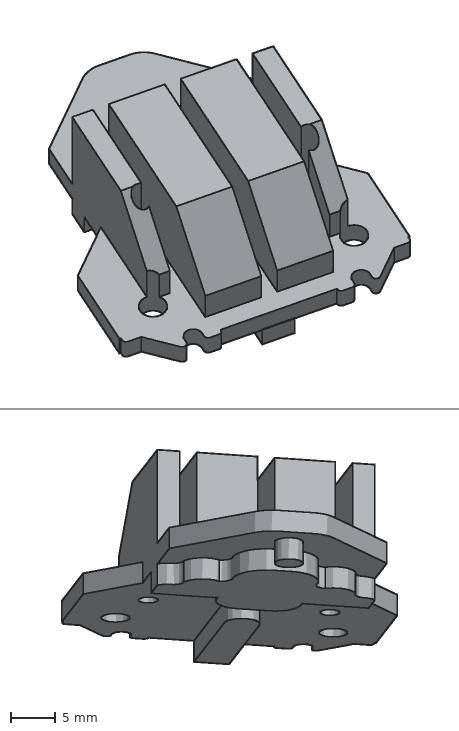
import cadquery as cq
import math

plate_height = 2.45
relief_depth = 2.5
block_height = 11.05
plate_top = plate_height
block_top = plate_top + block_height

length = 43.3
body_half_width = 12.6
nose_chamfer = 9.15
nose_radius = 3.7
wing_half_width = 18.18
wing_start = 22.6
wing_slope = wing_half_width - body_half_width
wing_end = 39.8
wing_corner_radius = 0.48
wing_step_x = 39.0
wing_step_depth = 0.17
wing_side_end = 15.85
tail_end = 42.7

hole_diameter = 2.2
notch_radius = hole_diameter / 2
notch_x = 42.3
hole_y = 10.5
lip_radius = 0.5
lip_end = 7.25

guide_hole_x = 28.75
mount_hole_diameter = 3.2
mount_hole_x = 36.15

block_start = 15.15
inner_block_inside = 1.0
inner_block_outside = 8.0
inner_slope_start = 32.68
inner_block_end = 40.2
side_wall_inside = 10.0
side_slope_start = 27.8
side_wall_end = 35.15

pin_diameter = 3.2
pin_x = 3.72
bridge_front = 14.55
bridge_back = 18.3
bridge_fillet = 1.15
bridge_corner_x = block_start
lobe_tip = (11.7, 7.57)
lobe_inner = (12.1, 6.15)
lobe_outer = (bridge_front - bridge_fillet, 9.95)
hub_front = 6.7
hub_back = 21.8
hub_half_width = 4.9
hub_front_radius = 3.9
hub_back_radius = 3.0
hub_fillet_middle = (11.7, 5.15)
bar_start = 25.3
bar_end = 42.65
bar_half_width = 2.05


def arc_middle(center_x, center_y, radius, x_sign, y_sign):
    """Point halfway round a quarter circle, in the quadrant given by the signs."""
    offset = radius * math.sqrt(0.5)
    return center_x + x_sign * offset, center_y + y_sign * offset


def both_sides(half):
    """Join a +Y half with its mirror image."""
    return half.union(half.mirror("XZ"))


def half_plate():
    nose_y = body_half_width - nose_chamfer
    notch_top = hole_y + notch_radius
    notch_bottom = hole_y - notch_radius
    lip_x = length - lip_radius
    tip_y = notch_top + lip_radius
    tip_offset = lip_radius * math.sqrt(0.5)
    corner_x = wing_end - wing_corner_radius
    step_y = wing_half_width - wing_step_depth
    corner_y = step_y - wing_corner_radius
    return (
        cq.Workplane("XY")
        .moveTo(0, 0)
        .lineTo(0, nose_y)
        .lineTo(nose_chamfer, body_half_width)
        .lineTo(wing_start, body_half_width)
        .lineTo(wing_start + wing_slope, wing_half_width)
        .lineTo(wing_step_x, wing_half_width)
        .lineTo(wing_step_x, step_y)
        .lineTo(corner_x, step_y)
        .threePointArc(arc_middle(corner_x, corner_y, wing_corner_radius, 1, 1), (wing_end, corner_y))
        .lineTo(wing_end, wing_side_end)
        .lineTo(lip_x + tip_offset, tip_y + tip_offset)
        .threePointArc((lip_x + tip_offset, tip_y - tip_offset), (lip_x, notch_top))
        .lineTo(notch_x, notch_top)
        .threePointArc((notch_x - notch_radius, hole_y), (notch_x, notch_bottom))
        .lineTo(lip_x, notch_bottom)
        .threePointArc(
            arc_middle(lip_x, notch_bottom - lip_radius, lip_radius, 1, 1),
            (length, notch_bottom - lip_radius),
        )
        .lineTo(length, lip_end + lip_radius)
        .threePointArc(
            arc_middle(lip_x, lip_end + lip_radius, lip_radius, 1, -1),
            (lip_x, lip_end),
        )
        .lineTo(tail_end, lip_end)
        .lineTo(tail_end, 0)
        .close()
        .extrude(plate_height)
        .edges(cq.selectors.NearestToPointSelector((0, nose_y, plate_height / 2)))
        .fillet(nose_radius)
    )


def sloped_block(y_inside, y_outside, slope_start, end):
    """Upright block with a 45 degree slope from its top to its +X end."""
    slope_drop = end - slope_start
    return (
        cq.Workplane("XZ", origin=(0, y_outside, 0))
        .moveTo(block_start, 0)
        .lineTo(block_start, block_top)
        .lineTo(slope_start, block_top)
        .lineTo(end, block_top - slope_drop)
        .lineTo(end, 0)
        .close()
        .extrude(y_outside - y_inside)
    )


def half_lobed_relief():
    """Rounded hub stepping out through a pair of lobes to a bridge across the plate."""
    hub_front_x = hub_front + hub_front_radius
    hub_front_y = hub_half_width - hub_front_radius
    hub_back_x = hub_back - hub_back_radius
    hub_back_y = hub_half_width - hub_back_radius
    lobe_outer_x, lobe_outer_y = lobe_outer
    bridge_fillet_y = lobe_outer_y + bridge_fillet
    return (
        cq.Workplane("XY", origin=(0, 0, -relief_depth))
        .moveTo(hub_front, 0)
        .lineTo(hub_front, hub_front_y)
        .threePointArc(
            arc_middle(hub_front_x, hub_front_y, hub_front_radius, -1, 1),
            (hub_front_x, hub_half_width),
        )
        .threePointArc(hub_fillet_middle, lobe_inner)
        .threePointArc(lobe_tip, lobe_outer)
        .threePointArc(
            arc_middle(lobe_outer_x, bridge_fillet_y, bridge_fillet, 1, -1),
            (bridge_front, bridge_fillet_y),
        )
        .tangentArcPoint((bridge_corner_x, body_half_width), relative=False)
        .lineTo(bridge_back, body_half_width)
        .lineTo(bridge_back, hub_half_width)
        .lineTo(hub_back_x, hub_half_width)
        .threePointArc(
            arc_middle(hub_back_x, hub_back_y, hub_back_radius, 1, 1),
            (hub_back, hub_back_y),
        )
        .lineTo(hub_back, 0)
        .close()
        .extrude(relief_depth)
    )


def round_ended_bar():
    return (
        cq.Workplane("XY", origin=(0, 0, -relief_depth))
        .moveTo(bar_end, bar_half_width)
        .lineTo(bar_start + bar_half_width, bar_half_width)
        .threePointArc((bar_start, 0), (bar_start + bar_half_width, -bar_half_width))
        .lineTo(bar_end, -bar_half_width)
        .close()
        .extrude(relief_depth)
    )


def through_holes(x, y, diameter):
    """Pair of full-height cutters at +Y and -Y."""
    return (
        cq.Workplane("XY", origin=(0, 0, -relief_depth))
        .pushPoints([(x, y), (x, -y)])
        .circle(diameter / 2)
        .extrude(relief_depth + block_top)
    )


pin = (
    cq.Workplane("XY", origin=(pin_x, 0, -relief_depth))
    .circle(pin_diameter / 2)
    .extrude(relief_depth)
)
inner_block = sloped_block(inner_block_inside, inner_block_outside, inner_slope_start, inner_block_end)
side_wall = sloped_block(side_wall_inside, body_half_width, side_slope_start, side_wall_end)

result = (
    both_sides(half_plate())
    .union(both_sides(inner_block))
    .union(both_sides(side_wall))
    .union(both_sides(half_lobed_relief()))
    .union(pin)
    .union(round_ended_bar())
    .cut(through_holes(guide_hole_x, hole_y, hole_diameter))
    .cut(through_holes(mount_hole_x, body_half_width, mount_hole_diameter))
    .clean()
)